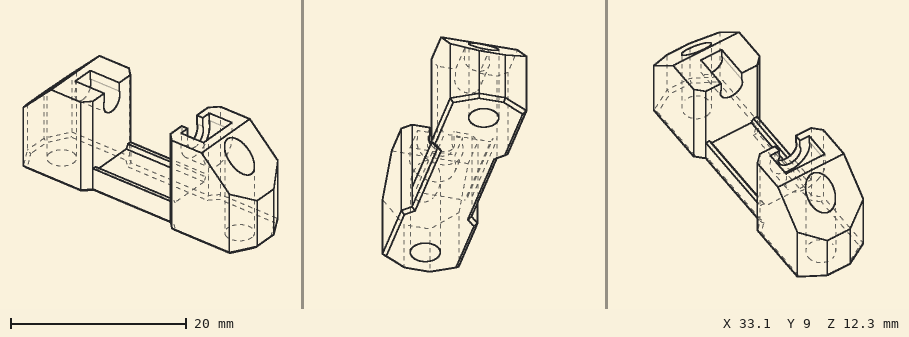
import cadquery as cq
import math

length = 33.05
width = 9.0
height = 12.3

block_gap = 11.15
nose_flat_width = 3.1
nose_angle = 60.0
inner_chamfer = 1.0
slope_run = 5.72
bottom_chamfer = 0.4

bar_height = 3.17
rail_top_width = 0.5
channel_side_run = 0.3
channel_depth = 0.53

hole_diameter = 3.4
hole_inset = 3.75

seat_axis_depth = 1.65
pin_diameter = 3.0
pin_slot_width = 2.8
pin_seat_length = 4.15
head_diameter = 5.45
head_slot_width = 5.3
head_pocket_length = 3.25
head_pocket_wall = 0.85

half_length = length / 2
half_width = width / 2
inner_x = block_gap / 2
bar_half_width = half_width - inner_chamfer
nose_half_flat = nose_flat_width / 2
nose_run = (half_width - nose_half_flat) / math.tan(math.radians(nose_angle))


def make_footprint():
    """Full-height blank: two pointed blocks joined by a narrower bar."""
    quarter = [
        (inner_x, bar_half_width),
        (inner_x + inner_chamfer, half_width),
        (half_length - nose_run, half_width),
        (half_length, nose_half_flat),
    ]
    upper = [(-x, y) for x, y in reversed(quarter)] + quarter
    lower = [(x, -y) for x, y in reversed(upper)]
    blank = cq.Workplane("XY").polyline(upper + lower).close().extrude(height)
    return blank.faces("<Z").chamfer(bottom_chamfer)


def make_side_profile():
    """U-shaped side silhouette with sloped outer shoulders."""
    right = [
        (inner_x, bar_height),
        (inner_x, height),
        (half_length - slope_run, height),
        (half_length, height - slope_run),
        (half_length, 0),
    ]
    left = [(-x, z) for x, z in reversed(right)]
    return cq.Workplane("XZ").polyline(left + right).close().extrude(half_width, both=True)


def make_channel():
    """Sloped-side channel between the two rails of the bar."""
    top_half = bar_half_width - rail_top_width
    floor_half = top_half - channel_side_run
    floor_z = bar_height - channel_depth
    outline = [
        (-top_half, bar_height),
        (-floor_half, floor_z),
        (floor_half, floor_z),
        (top_half, bar_height),
    ]
    return cq.Workplane("YZ").polyline(outline).close().extrude(inner_x, both=True)


def make_seat(start_x, seat_length, diameter, slot_width):
    """Round trough along X with a slightly narrower slot opening at the top."""
    radius = diameter / 2
    half_slot = slot_width / 2
    axis_z = height - seat_axis_depth
    slot_bottom_z = axis_z + math.sqrt(radius**2 - half_slot**2)
    return (
        cq.Workplane("YZ", origin=(start_x, 0, 0))
        .moveTo(-half_slot, height)
        .lineTo(-half_slot, slot_bottom_z)
        .threePointArc((0, axis_z - radius), (half_slot, slot_bottom_z))
        .lineTo(half_slot, height)
        .close()
        .extrude(seat_length)
    )


hole_x = half_length - hole_inset
holes = (
    cq.Workplane("XY")
    .pushPoints([(-hole_x, 0), (hole_x, 0)])
    .circle(hole_diameter / 2)
    .extrude(height)
)
left_pin_seat = make_seat(-inner_x - pin_seat_length, pin_seat_length, pin_diameter, pin_slot_width)
right_pin_seat = make_seat(inner_x, head_pocket_wall, pin_diameter, pin_slot_width)
head_pocket = make_seat(inner_x + head_pocket_wall, head_pocket_length, head_diameter, head_slot_width)

result = make_footprint().intersect(make_side_profile())
for cutter in (make_channel(), holes, left_pin_seat, right_pin_seat, head_pocket):
    result = result.cut(cutter)